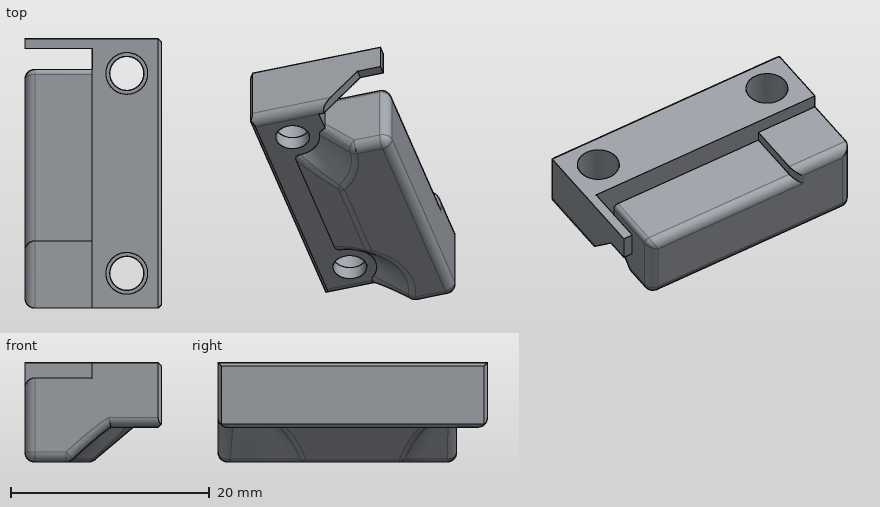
import cadquery as cq

WIDTH = 13.75
LENGTH = 27.1
HEIGHT = 10.0

RAIL_INNER_X = 6.75
RAIL_BOTTOM_Z = 3.5
RAIL_CHAMFER = 0.35

BLOCK_LENGTH = 24.0
BLOCK_TOP_Z = 7.35
FLANK_BOTTOM_X = RAIL_INNER_X
FLANK_TOP_X = 10.9
FLANK_RUN_PER_RISE = (FLANK_TOP_X - FLANK_BOTTOM_X) / RAIL_BOTTOM_Z

RAIL_OVERLAP = 0.7
FLANK_END_Z = RAIL_BOTTOM_Z + RAIL_OVERLAP

PAD_LENGTH = 6.75
PAD_TOP_Z = 8.45

ARM_THICKNESS = 1.0
ARM_BOTTOM_Z = BLOCK_TOP_Z
ARM_FLAT_LENGTH = 2.4

EDGE_RADIUS = 1.0
REAR_TOP_RADIUS = 0.5

HOLE_X = 10.25
HOLE_END_DISTANCE = 3.5
HOLE_YS = (HOLE_END_DISTANCE, LENGTH - HOLE_END_DISTANCE)
HOLE_DIAMETER = 3.4
COUNTERBORE_DIAMETER = 4.2
COUNTERBORE_DEPTH = 5.0

CONE_BOTTOM_RADIUS = 6.2
CONE_HEIGHT = CONE_BOTTOM_RADIUS


def make_box(x_range, y_range, z_range):
    """Axis-aligned box between the given limits."""
    corner = (x_range[0], y_range[0], z_range[0])
    sizes = [high - low for low, high in (x_range, y_range, z_range)]
    return cq.Workplane("XY").box(*sizes, centered=False).translate(corner)


def extrude_along_y(points, y_start, y_end):
    """Prism between two Y positions from a closed outline of (x, z) points."""
    outline = cq.Workplane("XZ", origin=(0, y_start, 0)).polyline(points).close()
    return outline.extrude(y_start - y_end)


def make_clearance_cone(y):
    """Cone on the hole axis, widest at the underside of the block."""
    base = cq.Vector(HOLE_X, y, 0)
    return cq.Workplane(cq.Solid.makeCone(CONE_BOTTOM_RADIUS, 0, CONE_HEIGHT, base, cq.Vector(0, 0, 1)))


def make_block():
    """Block with pad, sloped flank, clearance cones and rounded edges."""
    flank_end_x = FLANK_BOTTOM_X + FLANK_RUN_PER_RISE * FLANK_END_Z
    sloped_outline = [
        (0, 0),
        (FLANK_BOTTOM_X, 0),
        (flank_end_x, FLANK_END_Z),
        (RAIL_INNER_X, FLANK_END_Z),
        (RAIL_INNER_X, BLOCK_TOP_Z),
        (0, BLOCK_TOP_Z),
    ]
    front_y = HOLE_YS[0]
    block = extrude_along_y(sloped_outline, front_y, BLOCK_LENGTH)
    block = block.union(make_box((0, HOLE_X), (0, front_y), (0, BLOCK_TOP_Z)))
    block = block.union(make_box((0, RAIL_INNER_X), (0, PAD_LENGTH), (0, PAD_TOP_Z)))
    for y in HOLE_YS:
        block = block.cut(make_clearance_cone(y))
    block = block.clean()

    block = block.edges("<X or <Z or %ELLIPSE or %HYPERBOLA").fillet(EDGE_RADIUS)
    return block.faces(">Y").edges(">Z").fillet(REAR_TOP_RADIUS)


def make_rail_and_arm():
    """Rail with rounded lower end edges and a chamfered outer face, plus the thin arm."""
    arm_inner_y = LENGTH - ARM_THICKNESS
    rail = make_box((RAIL_INNER_X, WIDTH), (0, LENGTH), (RAIL_BOTTOM_Z, HEIGHT))
    rail = rail.union(make_box((0, WIDTH), (arm_inner_y, LENGTH), (RAIL_BOTTOM_Z, HEIGHT)))
    rail = rail.faces(">X").chamfer(RAIL_CHAMFER)
    rail = rail.faces("<Y or >Y").edges("<Z").fillet(EDGE_RADIUS)

    arm_slope_run = ARM_BOTTOM_Z - RAIL_BOTTOM_Z
    below_arm = [
        (0, RAIL_BOTTOM_Z),
        (ARM_FLAT_LENGTH + arm_slope_run, RAIL_BOTTOM_Z),
        (ARM_FLAT_LENGTH, ARM_BOTTOM_Z),
        (0, ARM_BOTTOM_Z),
    ]
    return rail.cut(extrude_along_y(below_arm, arm_inner_y, LENGTH))


def drill_screw_holes(body):
    """Counterbored through holes from the top face."""
    top = cq.Workplane("XY", origin=(0, 0, HEIGHT))
    centers = [(HOLE_X, y) for y in HOLE_YS]
    holes = top.pushPoints(centers).circle(HOLE_DIAMETER / 2).extrude(-HEIGHT)
    counterbores = top.pushPoints(centers).circle(COUNTERBORE_DIAMETER / 2).extrude(-COUNTERBORE_DEPTH)
    return body.cut(holes).cut(counterbores)


result = drill_screw_holes(make_block().union(make_rail_and_arm()))